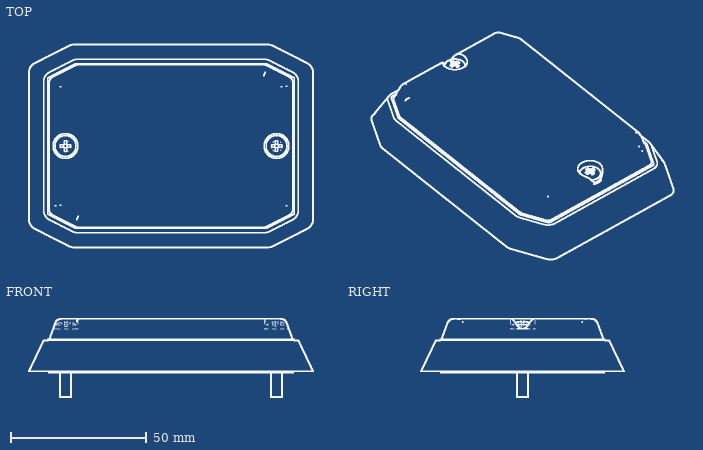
import cadquery as cq
import math

LENGTH = 105.0
WIDTH = 75.0
CORNER_CUT_X = 15.8
CORNER_CUT_Y = 8.0

BASE_TOP = 11.4
COVER_BOTTOM = 11.9
COVER_TOP = 19.4
LIP_DEPTH = 0.5
PIN_BOTTOM = -9.6

BASE_TOP_INSET = 5.5
GASKET_INSET = 7.0
LIP_INSET = 7.4
COVER_INSET = 7.6
COVER_SLOPE = 20.0

BASE_CORNER_RADIUS = 4.5
COVER_CORNER_RADIUS = 2.6
COVER_RIM_RADIUS = 2.4

SCREW_X = 39.0
PIN_DIAMETER = 4.1
POCKET_DIAMETER = 9.1
POCKET_DEPTH = 3.8
HEAD_DIAMETER = 7.8
HEAD_TOP_DEPTH = 0.9
DOME_HEIGHT = 1.3
CROSS_LENGTH = 4.1
CROSS_TIP_LENGTH = 1.5
CROSS_WIDTH = 1.0
CROSS_DEPTH = 1.8


def outline_points(inset):
    """Corners of the cut-corner outline moved inwards by the given distance."""
    half_x = LENGTH / 2
    half_y = WIDTH / 2
    cut_length = math.hypot(CORNER_CUT_X, CORNER_CUT_Y)
    foot_reach = CORNER_CUT_Y * half_x + CORNER_CUT_X * half_y - CORNER_CUT_X * CORNER_CUT_Y
    reach = foot_reach - inset * cut_length
    side_x = half_x - inset
    side_y = (reach - CORNER_CUT_Y * side_x) / CORNER_CUT_X
    end_y = half_y - inset
    end_x = (reach - CORNER_CUT_X * end_y) / CORNER_CUT_Y
    return [
        (side_x, -side_y),
        (side_x, side_y),
        (end_x, end_y),
        (-end_x, end_y),
        (-side_x, side_y),
        (-side_x, -side_y),
        (-end_x, -end_y),
        (end_x, -end_y),
    ]


def tapered_body(bottom, top, bottom_inset, top_inset, corner_radius):
    """Sloping-sided block with rounded upright corners."""
    body = (
        cq.Workplane("XY", origin=(0, 0, bottom))
        .polyline(outline_points(bottom_inset))
        .close()
        .workplane(offset=top - bottom)
        .polyline(outline_points(top_inset))
        .close()
        .loft(ruled=True, combine=True)
    )
    return body.edges("not #Z").fillet(corner_radius)


def straight_plate(bottom, top, inset):
    """Upright-sided plate with sharp corners."""
    return (
        cq.Workplane("XY", origin=(0, 0, bottom))
        .polyline(outline_points(inset))
        .close()
        .extrude(top - bottom)
    )


def make_cover():
    top_inset = COVER_INSET + (COVER_TOP - COVER_BOTTOM) * math.tan(math.radians(COVER_SLOPE))
    cover = tapered_body(COVER_BOTTOM, COVER_TOP, COVER_INSET, top_inset, COVER_CORNER_RADIUS)
    return cover.faces(">Z").edges().fillet(COVER_RIM_RADIUS)


def make_pocket(x):
    return (
        cq.Workplane("XY", origin=(x, 0, COVER_TOP - POCKET_DEPTH))
        .circle(POCKET_DIAMETER / 2)
        .extrude(POCKET_DEPTH)
    )


def cross_arm(plane, x, crown):
    """One bar of the driver recess, narrowing towards its tip."""
    return (
        cq.Workplane(plane, origin=(x, 0, crown))
        .polyline([
            (-CROSS_LENGTH / 2, 0),
            (CROSS_LENGTH / 2, 0),
            (CROSS_TIP_LENGTH / 2, -CROSS_DEPTH),
            (-CROSS_TIP_LENGTH / 2, -CROSS_DEPTH),
        ])
        .close()
        .extrude(CROSS_WIDTH / 2, both=True)
    )


def make_screw_head(x):
    """Domed head standing on the pocket floor, with a cross recess."""
    radius = HEAD_DIAMETER / 2
    floor = COVER_TOP - POCKET_DEPTH
    crown = COVER_TOP - HEAD_TOP_DEPTH
    shoulder = crown - DOME_HEIGHT
    dome_radius = (radius**2 + DOME_HEIGHT**2) / (2 * DOME_HEIGHT)
    mid_x = radius / 2
    mid_z = crown - dome_radius + math.sqrt(dome_radius**2 - mid_x**2)
    head = (
        cq.Workplane("XZ")
        .moveTo(0, floor)
        .lineTo(radius, floor)
        .lineTo(radius, shoulder)
        .threePointArc((mid_x, mid_z), (0, crown))
        .close()
        .revolve(360, (0, 0), (0, 1))
        .translate((x, 0, 0))
    )
    return head.cut(cross_arm("XZ", x, crown)).cut(cross_arm("YZ", x, crown))


def make_pin(x):
    return (
        cq.Workplane("XY", origin=(x, 0, PIN_BOTTOM))
        .circle(PIN_DIAMETER / 2)
        .extrude(-PIN_BOTTOM)
    )


base = tapered_body(0, BASE_TOP, 0, BASE_TOP_INSET, BASE_CORNER_RADIUS)
lip = straight_plate(-LIP_DEPTH, 0, LIP_INSET)
gasket = straight_plate(BASE_TOP, COVER_BOTTOM, GASKET_INSET)

result = base.union(lip).union(gasket).union(make_cover())
for screw_x in (-SCREW_X, SCREW_X):
    result = result.cut(make_pocket(screw_x))
    result = result.union(make_screw_head(screw_x))
    result = result.union(make_pin(screw_x))